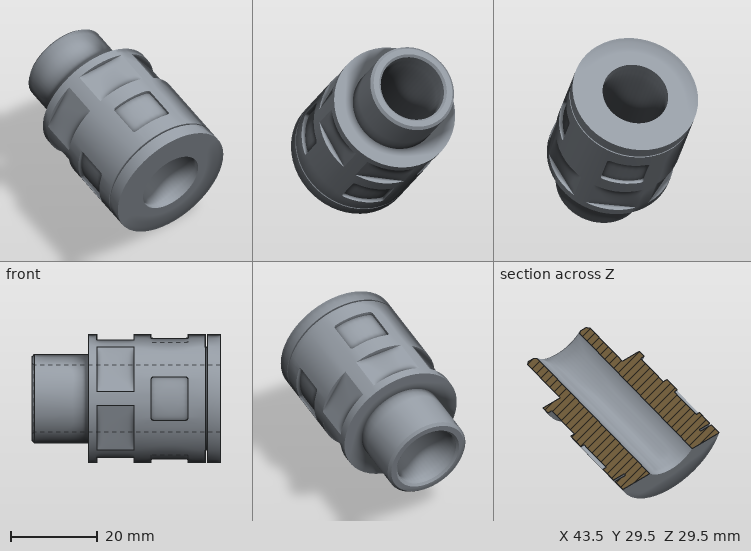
import cadquery as cq
import math

total_length = 43.5
spigot_length = 13.0
cap_length = 3.1
groove_width = 0.45

body_diameter = 29.5
spigot_diameter = 20.4
groove_diameter = 23.7
bore_diameter = 15.4

outer_chamfer = 0.6
bore_chamfer = 0.52

flat_count = 6
across_flats = 27.0
flats_offset = 2.0
flats_length = 8.53

window_count = 4
window_floor_diameter = 27.75
window_offset = 14.45
window_length = 8.53
window_width = 10.0
window_corner_radius = 0.65

spigot_end = -total_length / 2
body_start = spigot_end + spigot_length
cap_start = total_length / 2 - cap_length
body_radius = body_diameter / 2
tool_margin = 2.18


def cylinder(start, length, diameter):
    """Cylinder along +X, beginning at the given X position."""
    return cq.Workplane("YZ", origin=(start, 0, 0)).circle(diameter / 2).extrude(length)


def make_turned_body():
    """Spigot, body and grooved cap before the bore is cut."""
    spigot = cylinder(spigot_end, spigot_length, spigot_diameter)
    spigot = spigot.faces("<X").chamfer(outer_chamfer)
    body = cylinder(body_start, total_length - spigot_length, body_diameter)
    groove_start = cap_start - groove_width
    groove = cylinder(groove_start, groove_width, body_diameter + tool_margin)
    groove = groove.cut(cylinder(groove_start, groove_width, groove_diameter))
    return spigot.union(body).cut(groove)


def make_flats_cutter():
    """Ring with a hexagonal opening, two of its sides facing up and down."""
    start = body_start + flats_offset
    across_corners = across_flats / math.cos(math.pi / flat_count)
    hexagon = (
        cq.Workplane("YZ", origin=(start, 0, 0))
        .polygon(flat_count, across_corners)
        .extrude(flats_length)
    )
    return cylinder(start, flats_length, across_corners + tool_margin).cut(hexagon)


def make_window_cutter(angle):
    """Round-cornered pocket tool, turned about X from the top of the body."""
    centre = body_start + window_offset + window_length / 2
    block = (
        cq.Workplane("XY", origin=(centre, 0, 0))
        .rect(window_length, window_width)
        .extrude(body_radius + tool_margin)
        .edges("|Z")
        .fillet(window_corner_radius)
    )
    floor = cylinder(body_start, total_length - spigot_length, window_floor_diameter)
    return block.cut(floor).rotate((0, 0, 0), (1, 0, 0), angle)


result = make_turned_body().cut(make_flats_cutter())
for index in range(window_count):
    result = result.cut(make_window_cutter(index * 360 / window_count))

bore = cylinder(spigot_end, total_length, bore_diameter)
mouth = (
    cq.Workplane("YZ", origin=(spigot_end, 0, 0))
    .circle(bore_diameter / 2 + bore_chamfer)
    .extrude(bore_chamfer, taper=45)
)
result = result.cut(bore).cut(mouth)